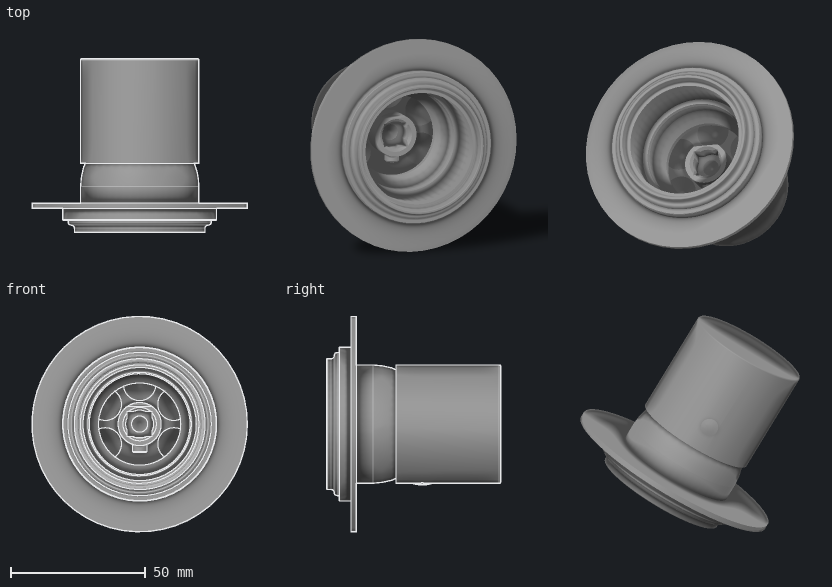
import cadquery as cq
import math


overall_length = 64.6
body_radius = 22.0
drill_half_angle = math.radians(118 / 2)

collar_back_y = 9.0
collar_flange_radius = 28.6
collar_flange_front_y = 4.6
collar_flange_chamfer = 0.2
collar_bead_radius = 26.6
collar_bead_front_y = 2.75
collar_bead_fillet = 1.2
collar_nose_radius = 24.3
collar_mouth_radius = 23.5
collar_rim_fillet = 0.35
collar_mouth_floor_fillet = 0.5
collar_mouth_depth = 3.0

plate_radius = 40.0
plate_thickness = 2.0
plate_back_y = collar_back_y + plate_thickness

sleeve_front_y = collar_mouth_depth
sleeve_bore_radius = 21.0
sleeve_step_y = 19.4
sleeve_throat_radius = 18.7
sleeve_throat_chamfer_width = 0.5
sleeve_throat_chamfer_length = 1.0
dome_center_y = 17.2
dome_thickness = 1.6
dome_inner_radius = body_radius - dome_thickness
dome_opening_radius = 15.25

handle_front_y = 25.7
handle_edge_fillet = 0.6
cavity_radius = 20.4
handle_floor_y = 40.0

pocket_radius = 6.0
pocket_pitch_radius = 14.7
pocket_spacing = 60
top_pocket_angle = 90
pocket_angles = [top_pocket_angle + pocket_spacing * step for step in range(-2, 3)]
pocket_tip_depth = pocket_radius / math.tan(drill_half_angle)

adapter_radius = 8.0
adapter_front_y = 30.5
adapter_flat_z = 6.6
adapter_flat_length = 4.0
countersink_radius = 6.2
socket_round_radius = 5.2
countersink_depth = 1.0
socket_width = 9.3
socket_depth = 7.0
drill_radius = 3.0
drill_tip_depth = drill_radius / math.tan(drill_half_angle)

screw_y = 35.5
screw_radius = 2.7
screw_inner_z = -5.0
screw_outer_z = -10.6
screw_chamfer = 0.5
plug_radius = 3.25
plug_edge_z = -22.2
plug_crown = 0.4


def revolved(profile):
    """Turn a profile drawn in (radius, y) about the Y axis."""
    return profile.close().revolve(360, (0, 0, 0), (0, 1, 0))


def tube(radius, y_start, y_end):
    """Solid cylinder along +Y."""
    return cq.Workplane("XZ", origin=(0, y_start, 0)).circle(radius).extrude(y_start - y_end)


def cone(base_radius, tip_radius, length, center_x, base_y, center_z):
    """Cone along +Y, widest at its front."""
    return cq.Workplane(
        obj=cq.Solid.makeCone(
            base_radius, tip_radius, length, cq.Vector(center_x, base_y, center_z), cq.Vector(0, 1, 0)
        )
    )


def make_collar():
    bead_front_radius = collar_bead_radius - collar_bead_fillet
    neck_fillet = bead_front_radius - collar_nose_radius
    profile = (
        cq.Workplane("XY")
        .moveTo(body_radius, collar_back_y)
        .lineTo(collar_flange_radius, collar_back_y)
        .lineTo(collar_flange_radius, collar_flange_front_y + collar_flange_chamfer)
        .lineTo(collar_flange_radius - collar_flange_chamfer, collar_flange_front_y)
        .lineTo(collar_bead_radius, collar_flange_front_y)
        .lineTo(collar_bead_radius, collar_bead_front_y + collar_bead_fillet)
        .radiusArc((bead_front_radius, collar_bead_front_y), collar_bead_fillet)
        .radiusArc((collar_nose_radius, collar_bead_front_y - neck_fillet), -neck_fillet)
        .lineTo(collar_nose_radius, collar_rim_fillet)
        .radiusArc((collar_nose_radius - collar_rim_fillet, 0), collar_rim_fillet)
        .lineTo(collar_mouth_radius, 0)
        .radiusArc((collar_mouth_radius - collar_rim_fillet, collar_rim_fillet), collar_rim_fillet)
        .lineTo(body_radius + collar_mouth_floor_fillet, collar_mouth_depth - collar_mouth_floor_fillet)
        .radiusArc((body_radius, collar_mouth_depth), -collar_mouth_floor_fillet)
    )
    return revolved(profile)


def make_plate():
    return tube(plate_radius, collar_back_y, plate_back_y).cut(tube(body_radius, collar_back_y, plate_back_y))


def dome_point(radius, opening_radius):
    """Point of a dome arc where it reaches the given distance from the axis."""
    return (opening_radius, dome_center_y + math.sqrt(radius**2 - opening_radius**2))


def make_sleeve():
    profile = (
        cq.Workplane("XY")
        .moveTo(sleeve_bore_radius, sleeve_front_y)
        .lineTo(body_radius, sleeve_front_y)
        .lineTo(body_radius, dome_center_y)
        .radiusArc(dome_point(body_radius, dome_opening_radius), -body_radius)
        .lineTo(*dome_point(dome_inner_radius, dome_opening_radius))
        .radiusArc(dome_point(dome_inner_radius, sleeve_throat_radius), dome_inner_radius)
        .lineTo(sleeve_throat_radius, sleeve_step_y + sleeve_throat_chamfer_length)
        .lineTo(sleeve_throat_radius + sleeve_throat_chamfer_width, sleeve_step_y)
        .lineTo(sleeve_bore_radius, sleeve_step_y)
    )
    return revolved(profile)


def make_plug():
    body = cq.Workplane("XY", origin=(0, screw_y, 0)).circle(plug_radius).extrude(plug_edge_z - plug_crown)
    crown_radius = (plug_radius**2 + plug_crown**2) / (2 * plug_crown)
    crown_center_z = plug_edge_z - plug_crown + crown_radius
    crown_ball = cq.Workplane("XY", origin=(0, screw_y, crown_center_z)).sphere(crown_radius)
    return body.intersect(crown_ball).cut(tube(cavity_radius, handle_front_y, handle_floor_y))


def make_screw():
    return (
        cq.Workplane("XY", origin=(0, screw_y, screw_inner_z))
        .circle(screw_radius)
        .extrude(screw_outer_z - screw_inner_z)
        .faces("<Z")
        .chamfer(screw_chamfer)
    )


def make_handle(plug):
    handle = tube(body_radius, handle_front_y, overall_length)
    handle = handle.faces(">Y").edges().fillet(handle_edge_fillet)
    handle = handle.cut(tube(cavity_radius, handle_front_y, handle_floor_y))
    for angle in pocket_angles:
        x = pocket_pitch_radius * math.cos(math.radians(angle))
        z = pocket_pitch_radius * math.sin(math.radians(angle))
        handle = handle.cut(cone(pocket_radius, 0, pocket_tip_depth, x, handle_floor_y, z))
    return handle.cut(plug)


def make_socket():
    """Square socket over a round bore, countersunk at the mouth and drilled at the bottom."""
    socket_floor_y = adapter_front_y + socket_depth
    square = (
        cq.Workplane("XZ", origin=(0, adapter_front_y, 0))
        .rect(socket_width, socket_width)
        .extrude(-socket_depth)
    )
    bore = tube(socket_round_radius, adapter_front_y, socket_floor_y)
    countersink = cone(countersink_radius, socket_round_radius, countersink_depth, 0, adapter_front_y, 0)
    drill_tip = cone(drill_radius, 0, drill_tip_depth, 0, socket_floor_y, 0)
    return square.union(bore).union(countersink).union(drill_tip)


def make_adapter(screw):
    post = tube(adapter_radius, adapter_front_y, handle_floor_y)
    flat = (
        cq.Workplane("XY", origin=(0, adapter_front_y, adapter_flat_z))
        .rect(2 * adapter_radius, 2 * adapter_flat_length)
        .extrude(adapter_radius)
    )
    return post.cut(flat).cut(make_socket()).cut(screw)


collar = make_collar()
plate = make_plate()
sleeve = make_sleeve()
plug = make_plug()
screw = make_screw()
handle = make_handle(plug)
adapter = make_adapter(screw)

bodies = [collar, plate, sleeve, handle, adapter, screw, plug]
result = cq.Compound.makeCompound([body.solids().val() for body in bodies])